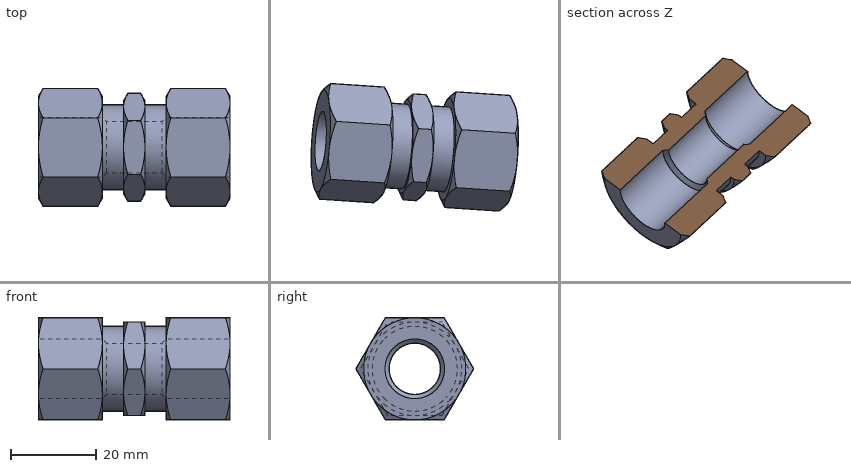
import cadquery as cq
import math

HEX_SIDES = 6

total_length = 45.0
nut_length = 15.0
nut_across_flats = 24.0
collar_length = 5.0
collar_across_flats = 22.0
body_diameter = 20.0
bore_diameter = 12.0
socket_diameter = 14.0
hex_chamfer_angle = 30.0

nut_centre = (total_length - nut_length) / 2
socket_depth = nut_length
seat_length = (socket_diameter - bore_diameter) / 2


def turned(profile):
    """Revolve a closed (x, radius) profile about the X axis."""
    return cq.Workplane("XY").polyline(profile).close().revolve(360, (0, 0, 0), (1, 0, 0))


def chamfered_hex(across_flats, length, centre_x):
    """Hexagon along X with corners on +Y and -Y, corners turned off conically at both ends."""
    flat_radius = across_flats / 2
    corner_radius = flat_radius / math.cos(math.pi / HEX_SIDES)
    chamfer_depth = (corner_radius - flat_radius) * math.tan(math.radians(hex_chamfer_angle))
    half_length = length / 2
    prism = (
        cq.Workplane("YZ")
        .polygon(HEX_SIDES, 2 * corner_radius)
        .extrude(half_length, both=True)
    )
    envelope = turned([
        (-half_length, 0),
        (-half_length, flat_radius),
        (-half_length + chamfer_depth, corner_radius),
        (half_length - chamfer_depth, corner_radius),
        (half_length, flat_radius),
        (half_length, 0),
    ])
    return prism.intersect(envelope).translate((centre_x, 0, 0))


def through_bore():
    """Straight bore with a tube socket at each end, closing down to it on a conical stop."""
    end = total_length / 2
    bore_radius = bore_diameter / 2
    socket_radius = socket_diameter / 2
    socket_floor = end - socket_depth
    return turned([
        (-end, 0),
        (-end, socket_radius),
        (-socket_floor, socket_radius),
        (-socket_floor + seat_length, bore_radius),
        (socket_floor - seat_length, bore_radius),
        (socket_floor, socket_radius),
        (end, socket_radius),
        (end, 0),
    ])


body = cq.Workplane("YZ").circle(body_diameter / 2).extrude(nut_centre, both=True)
collar = chamfered_hex(collar_across_flats, collar_length, 0)

result = body.union(collar)
for side in (-1, 1):
    result = result.union(chamfered_hex(nut_across_flats, nut_length, side * nut_centre))
result = result.cut(through_bore())